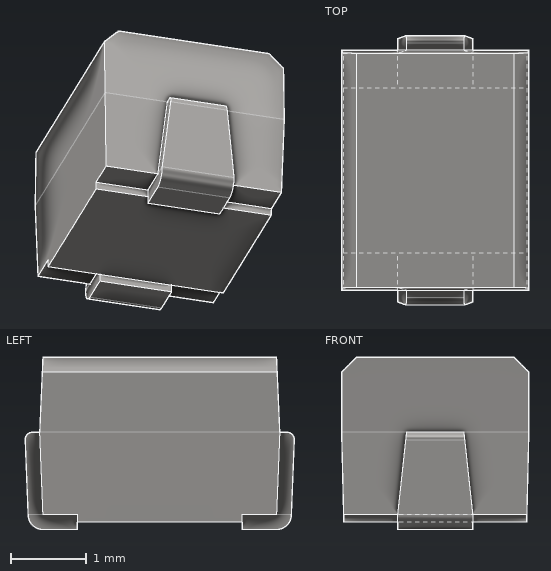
import cadquery as cq
import math

overall_length = 3.59
overall_height = 2.3

housing_width = 2.5
housing_length = 3.202
parting_height = 1.3
edge_chamfer = 0.2
end_inset = 0.043
side_inset = 0.03

foot_thickness = 0.2
foot_inner_end = 1.1
foot_width = 1.0
lead_top_width = 0.765
lead_top_radius = 0.1

standoff = foot_thickness / 2
housing_half_length = housing_length / 2
end_half_length = housing_half_length - end_inset


def make_housing():
    """Moulded block: its cross-section along X trimmed by its side profile along Y."""
    half_width = housing_width / 2
    half_base = half_width - side_inset
    cross_section = (
        cq.Workplane("XZ")
        .polyline([
            (-half_base, standoff),
            (half_base, standoff),
            (half_width, parting_height),
            (half_width, overall_height - edge_chamfer),
            (half_width - edge_chamfer, overall_height),
            (edge_chamfer - half_width, overall_height),
            (-half_width, overall_height - edge_chamfer),
            (-half_width, parting_height),
        ])
        .close()
        .extrude(housing_half_length, both=True)
    )

    half_profile = [
        (foot_inner_end, standoff),
        (foot_inner_end, foot_thickness),
        (end_half_length, foot_thickness),
        (housing_half_length, parting_height),
        (end_half_length, overall_height),
    ]
    mirrored_profile = [(-y, z) for y, z in reversed(half_profile)]
    side_profile = (
        cq.Workplane("YZ")
        .polyline(half_profile + mirrored_profile)
        .close()
        .extrude(housing_width / 2, both=True)
    )
    return cross_section.intersect(side_profile)


def make_lead():
    """Lead at the +Y end: a drafted leg on the housing end, bent under it into a foot."""
    end_slope = end_inset / (parting_height - foot_thickness)
    draft_angle = math.atan(end_slope)
    top_arc_y = overall_length / 2 - lead_top_radius
    top_arc_z = parting_height - lead_top_radius

    def top_arc_point(angle):
        return (
            top_arc_y + lead_top_radius * math.cos(angle),
            top_arc_z + lead_top_radius * math.sin(angle),
        )

    outer_face_top = top_arc_point(-draft_angle)
    bend_y = outer_face_top[0] - (outer_face_top[1] - foot_thickness) * end_slope

    bent_strip = (
        cq.Workplane("YZ")
        .moveTo(foot_inner_end, 0)
        .lineTo(foot_inner_end, foot_thickness)
        .lineTo(end_half_length, foot_thickness)
        .lineTo(housing_half_length, parting_height)
        .lineTo(top_arc_y, parting_height)
        .threePointArc(top_arc_point(math.radians(45)), outer_face_top)
        .lineTo(bend_y, foot_thickness)
        .radiusArc((bend_y - foot_thickness, 0), foot_thickness)
        .close()
        .extrude(foot_width / 2, both=True)
    )

    front_outline = (
        cq.Workplane("XZ")
        .polyline([
            (-foot_width / 2, 0),
            (foot_width / 2, 0),
            (foot_width / 2, foot_thickness),
            (lead_top_width / 2, parting_height),
            (-lead_top_width / 2, parting_height),
            (-foot_width / 2, foot_thickness),
        ])
        .close()
        .extrude(-overall_length / 2)
    )
    return bent_strip.intersect(front_outline)


housing = make_housing()
leads = [make_lead().rotate((0, 0, 0), (0, 0, 1), angle) for angle in (0, 180)]

result = cq.Compound.makeCompound([housing.val(), *[lead.val() for lead in leads]])